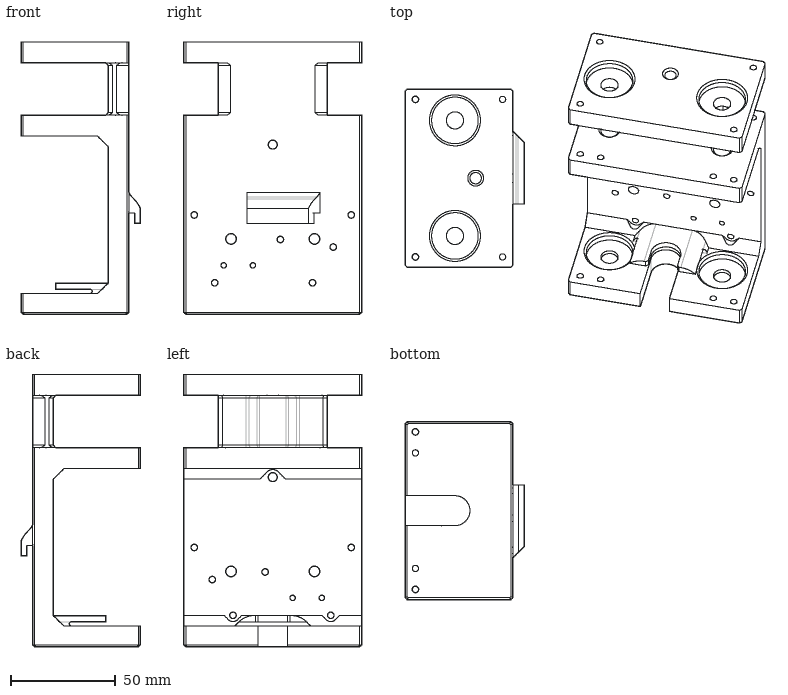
import cadquery as cq
import math

HEIGHT = 130
WIDTH = 85.0
DEPTH = 51.5
PLATE = 10.0
PLATE_GAP = 25.0
CORNER_CHAMFER = 1.0
INNER_CHAMFER = 5.0
EDGE_CHAMFER = 1.0

TOP_Z = HEIGHT - PLATE
SHELF_Z = TOP_Z - PLATE_GAP
OPENING_Z = SHELF_Z - PLATE
WALL_X = DEPTH - PLATE

POCKET_X = 23.8
POCKET_Y = 27.5
POCKET_D = 22.2
POCKET_DEPTH = 4.0
SLEEVE_D = 8.2
SLEEVE_BLIND_DEPTH = 2.0

SCREW_D = 3.0
SCREW_INSET = 5.0
SCREW_Y = WIDTH / 2 - SCREW_INSET
CENTRE_HOLE_X = 33.7
CENTRE_HOLE_D = 5.5

UPPER_BOLT_D = 4.2
UPPER_BOLT = (0, 81.0)
LOWER_BOLTS = [(19.0, 15.1), (-27.7, 15.1)]
SIDE_HOLES = [(37.5, 47.5), (-37.5, 47.5)]
OFFSET_HOLES = [(3.6, 35.8), (28.9, 32.1)]
DOWEL_D = 5.0
DOWELS = [(19.9, 36.0), (-19.9, 36.0)]
PILOT_D = 2.5
PILOTS = [(-9.5, 23.4), (-23.4, 23.4)]
UPPER_RELIEF_R = 3.6
LOWER_RELIEF_R = 3.0

SLOT_R = 7.2
FORK_X = 16.5
FORK_GAP = 2.0
FORK_RISE = INNER_CHAMFER
FORK_ROOT_X = 32.9
FORK_ARC_R = 10.0
FORK_ARC_Y = 9.0

RIB_HALF = 26
RIB_FRONT_CHAMFER = 2.1
RIB_BACK_BEVEL = 5.8
RIB_FLARE = 1.2
GROOVE_DEPTH = 5.0
GROOVE_FLOOR_HALF = 7.0
GROOVE_FILLET = 2.0

HOOK_REACH = 5.5
HOOK_TOP_Z = 58.2
HOOK_SHOULDER_Z = 50.6
HOOK_LEDGE_Z = 48.4
HOOK_TIP_Z = 43.4
HOOK_LIP = 2.7
HOOK_BEND_Z = 56.0
HOOK_BEND_X = 1.4
HOOK_BEND_LENGTH = 1.0
HOOK_SAGITTA = 0.1
HOOK_Y_MIN = -12.4
HOOK_Y_MAX = 22.5


def vertical_hole(x, y, z_top, diameter, depth):
    """Round cutter going down from z_top."""
    return cq.Workplane("XY", origin=(x, y, z_top - depth)).circle(diameter / 2).extrude(depth)


def lead_in(x, y, z_top, diameter):
    """Conical cutter that chamfers the upper rim of a hole."""
    cone = cq.Solid.makeCone(diameter / 2, diameter / 2 + EDGE_CHAMFER, EDGE_CHAMFER)
    return cq.Workplane(cone.translate(cq.Vector(x, y, z_top - EDGE_CHAMFER)))


def wall_hole(place, diameter):
    """Round cutter through the back wall along X."""
    start = WALL_X - INNER_CHAMFER
    plane = cq.Workplane("YZ", origin=(start, *place))
    return plane.circle(diameter / 2).extrude(DEPTH - start)


def make_frame():
    """C-shaped frame: bottom plate, back wall and middle plate."""
    chamfer_x = WALL_X - INNER_CHAMFER
    outline = [
        (0, 0), (DEPTH, 0), (DEPTH, SHELF_Z), (0, SHELF_Z), (0, OPENING_Z),
        (chamfer_x, OPENING_Z), (WALL_X, OPENING_Z - INNER_CHAMFER),
        (WALL_X, PLATE + INNER_CHAMFER), (chamfer_x, PLATE), (0, PLATE),
    ]
    frame = cq.Workplane("XZ", origin=(0, WIDTH / 2, 0)).polyline(outline).close().extrude(WIDTH)
    return frame.intersect(make_envelope())


def make_envelope():
    """Full-height block with chamfered upright edges and bottom rim."""
    block = cq.Workplane("XY").box(DEPTH, WIDTH, HEIGHT, centered=(False, True, False))
    return block.edges("|Z").chamfer(CORNER_CHAMFER).faces("<Z").edges().chamfer(CORNER_CHAMFER)


def make_top_plate():
    plate = cq.Workplane("XY", origin=(0, 0, TOP_Z))
    plate = plate.box(DEPTH, WIDTH, PLATE, centered=(False, True, False))
    return plate.edges("|Z").chamfer(CORNER_CHAMFER)


def make_rib():
    """Web between the upper plates with a groove along its front."""
    mouth_half = GROOVE_FLOOR_HALF + GROOVE_DEPTH
    floor_x = WALL_X + GROOVE_DEPTH
    half = [
        (floor_x, GROOVE_FLOOR_HALF),
        (WALL_X, mouth_half),
        (WALL_X, RIB_HALF - RIB_FRONT_CHAMFER),
        (WALL_X + RIB_FRONT_CHAMFER, RIB_HALF),
        (DEPTH - RIB_BACK_BEVEL, RIB_HALF),
        (DEPTH, RIB_HALF - RIB_BACK_BEVEL),
    ]
    mirrored = [(x, -y) for x, y in reversed(half)]
    rib = cq.Workplane("XY", origin=(0, 0, SHELF_Z)).polyline(half + mirrored).close().extrude(PLATE_GAP)
    margin = GROOVE_FILLET / 2
    groove = cq.selectors.BoxSelector(
        (WALL_X - margin, -mouth_half - margin, SHELF_Z),
        (floor_x + margin, mouth_half + margin, TOP_Z),
    )
    return rib.edges("|Z").edges(groove).fillet(GROOVE_FILLET)


def flare_rib(body):
    """Chamfer where the front and the bevels of the rib meet the two plates."""
    touch = 0.01
    for z in (SHELF_Z, TOP_Z):
        foot = cq.selectors.BoxSelector(
            (WALL_X - touch, touch - RIB_HALF, z - touch),
            (DEPTH - touch, RIB_HALF - touch, z + touch),
        )
        body = body.edges(foot).chamfer(RIB_FLARE)
    return body


def make_hook():
    lip_x = DEPTH + HOOK_REACH
    bend_x = DEPTH + HOOK_BEND_X
    hook = (
        cq.Workplane("XZ", origin=(0, HOOK_Y_MAX, 0))
        .moveTo(WALL_X, HOOK_TOP_Z)
        .lineTo(DEPTH, HOOK_TOP_Z)
        .sagittaArc((bend_x, HOOK_BEND_Z), -HOOK_SAGITTA)
        .lineTo(bend_x + HOOK_BEND_LENGTH, HOOK_BEND_Z - HOOK_BEND_LENGTH)
        .tangentArcPoint((lip_x, HOOK_SHOULDER_Z), relative=False)
        .lineTo(lip_x, HOOK_TIP_Z)
        .lineTo(lip_x - HOOK_LIP, HOOK_TIP_Z)
        .lineTo(lip_x - HOOK_LIP, HOOK_LEDGE_Z)
        .lineTo(WALL_X, HOOK_LEDGE_Z)
        .close()
        .extrude(HOOK_Y_MAX - HOOK_Y_MIN)
    )
    end_bevel = (
        cq.Workplane("XY")
        .polyline([(DEPTH, HOOK_Y_MAX), (lip_x, HOOK_Y_MAX), (lip_x, HOOK_Y_MAX - HOOK_REACH)])
        .close()
        .extrude(HEIGHT)
    )
    return hook.cut(end_bevel)


def make_fork():
    """Fork above the bottom plate, with rounded flanks and a root at the wall."""
    top_z = PLATE + FORK_RISE
    arc_z = top_z - FORK_ARC_R
    gap_z = PLATE + FORK_GAP
    flank_y = FORK_ARC_Y + math.sqrt(FORK_ARC_R**2 - (gap_z - arc_z) ** 2)
    foot_y = flank_y + FORK_GAP
    fork = (
        cq.Workplane("YZ", origin=(FORK_X, 0, 0))
        .moveTo(foot_y, PLATE)
        .lineTo(flank_y, gap_z)
        .radiusArc((FORK_ARC_Y, top_z), -FORK_ARC_R)
        .lineTo(-FORK_ARC_Y, top_z)
        .radiusArc((-flank_y, gap_z), -FORK_ARC_R)
        .lineTo(-foot_y, PLATE)
        .close()
        .extrude(WALL_X - FORK_X)
    )
    gap = (
        cq.Workplane("XZ", origin=(0, foot_y, 0))
        .moveTo(FORK_X, PLATE)
        .lineTo(FORK_ROOT_X, PLATE)
        .threePointArc((FORK_ROOT_X + FORK_GAP / 2, PLATE + FORK_GAP / 2), (FORK_ROOT_X, gap_z))
        .lineTo(FORK_X, gap_z)
        .close()
        .extrude(2 * foot_y)
    )
    return fork.cut(gap)


def slot_cutter():
    """Round-ended slot through the bottom plate and the fork, bevelled at the fork mouth."""
    top_z = PLATE + FORK_RISE
    slot = cq.Workplane("XY").rect(2 * POCKET_X, 2 * SLOT_R).extrude(top_z)
    slot = slot.union(cq.Workplane("XY", origin=(POCKET_X, 0, 0)).circle(SLOT_R).extrude(top_z))
    mouth_half = SLOT_R + EDGE_CHAMFER
    mouth = [
        (FORK_X, mouth_half), (FORK_X + EDGE_CHAMFER, SLOT_R),
        (FORK_X + EDGE_CHAMFER, -SLOT_R), (FORK_X, -mouth_half),
    ]
    bevel = cq.Workplane("XY", origin=(0, 0, PLATE)).polyline(mouth).close().extrude(FORK_RISE)
    return slot.union(bevel)


def bolt_relief(place, radius, toward):
    """Bolt-head clearance in an inner chamfer, rounded end facing up (1) or down (-1)."""
    tangent = radius / math.sqrt(2)
    back = INNER_CHAMFER
    spread = 2 * tangent + back
    plane = cq.Workplane("YZ", origin=(WALL_X - INNER_CHAMFER, *place))
    return (
        plane.moveTo(-spread, -toward * back)
        .lineTo(-tangent, toward * tangent)
        .threePointArc((0, toward * radius), (tangent, toward * tangent))
        .lineTo(spread, -toward * back)
        .close()
        .extrude(INNER_CHAMFER)
    )


def cut_wall(frame):
    frame = frame.cut(bolt_relief(UPPER_BOLT, UPPER_RELIEF_R, 1))
    for place in LOWER_BOLTS:
        frame = frame.cut(bolt_relief(place, LOWER_RELIEF_R, -1))
    groups = [
        ([UPPER_BOLT], UPPER_BOLT_D),
        (LOWER_BOLTS + SIDE_HOLES + OFFSET_HOLES, SCREW_D),
        (DOWELS, DOWEL_D),
        (PILOTS, PILOT_D),
    ]
    for places, diameter in groups:
        for place in places:
            frame = frame.cut(wall_hole(place, diameter))
    return frame


def cut_pockets(body):
    """Round pockets in the top and bottom plates, sleeve holes through the upper two."""
    for y in (-POCKET_Y, POCKET_Y):
        for z in (HEIGHT, PLATE):
            body = body.cut(vertical_hole(POCKET_X, y, z, POCKET_D, POCKET_DEPTH))
            body = body.cut(lead_in(POCKET_X, y, z, POCKET_D))
        blind = POCKET_DEPTH + SLEEVE_BLIND_DEPTH
        body = body.cut(vertical_hole(POCKET_X, y, PLATE, SLEEVE_D, blind))
        for z in (HEIGHT, SHELF_Z):
            body = body.cut(vertical_hole(POCKET_X, y, z, SLEEVE_D, PLATE))
        body = body.cut(lead_in(POCKET_X, y, SHELF_Z, SLEEVE_D))
    body = body.cut(vertical_hole(CENTRE_HOLE_X, 0, HEIGHT, CENTRE_HOLE_D, PLATE))
    return body.cut(lead_in(CENTRE_HOLE_X, 0, HEIGHT, CENTRE_HOLE_D))


def cut_screw_holes(body):
    """Corner holes, plus a second front pair in the two lower plates."""
    for side in (-1, 1):
        corner_y = side * SCREW_Y
        for z in (HEIGHT, SHELF_Z, PLATE):
            body = body.cut(vertical_hole(SCREW_INSET, corner_y, z, SCREW_D, PLATE))
        for z in (HEIGHT, SHELF_Z):
            body = body.cut(vertical_hole(DEPTH - SCREW_INSET, corner_y, z, SCREW_D, PLATE))
        for z in (SHELF_Z, PLATE):
            body = body.cut(vertical_hole(SCREW_INSET, side * POCKET_Y, z, SCREW_D, PLATE))
    return body


frame = cut_wall(make_frame()).union(make_fork()).cut(slot_cutter())
body = flare_rib(frame.union(make_top_plate()).union(make_rib()))
body = cut_screw_holes(cut_pockets(body))
result = body.union(make_hook())